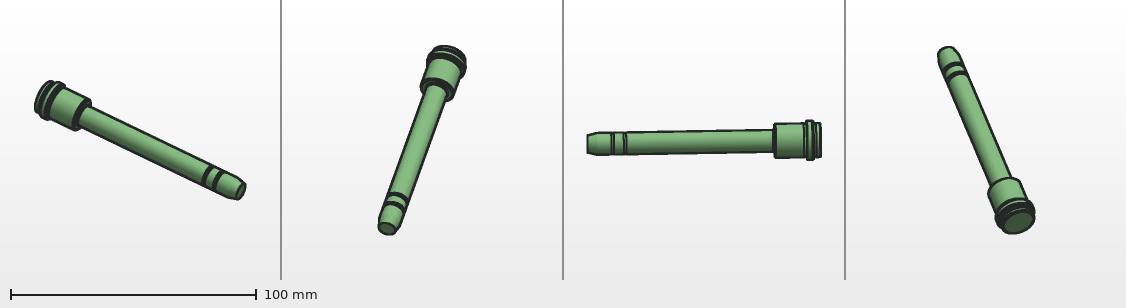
import cadquery as cq

length = 95.0
head_radius = 14.0 / 2
collar_radius = 16.0 / 2
shaft_radius = 9.0 / 2

front_chamfer_length = 0.4
front_chamfer_step = 0.6
neck_radius = 6.6
rim_end = 1.9
collar_start = 2.9
collar_end = 5.8
collar_front_chamfer_length = 0.6
collar_front_chamfer_step = 0.4
collar_rear_chamfer = 0.3
body_start = 6.9
head_end = 18.9
rear_chamfer = 0.6
shaft_root_length = 0.6
shaft_root_step = 0.3

groove_starts = (79.2, 84.3)
groove_width = 1.0
groove_depth = 0.24
tip_length = 4.0
tip_radius = 3.5


def revolve_profile(points):
    """Revolve (distance along X, radius) points around the X axis."""
    return cq.Workplane("XY").polyline(points).close().revolve(360, (0, 0, 0), (1, 0, 0))


def make_pin():
    return revolve_profile([
        (0, 0),
        (0, head_radius - front_chamfer_step),
        (front_chamfer_length, head_radius),
        (rim_end, head_radius),
        (collar_start, neck_radius),
        (collar_start, collar_radius - collar_front_chamfer_step),
        (collar_start + collar_front_chamfer_length, collar_radius),
        (collar_end - collar_rear_chamfer, collar_radius),
        (collar_end, collar_radius - collar_rear_chamfer),
        (collar_end, neck_radius),
        (body_start, head_radius),
        (head_end - rear_chamfer, head_radius),
        (head_end, head_radius - rear_chamfer),
        (head_end, shaft_radius + shaft_root_step),
        (head_end + shaft_root_length, shaft_radius),
        (length - tip_length, shaft_radius),
        (length, tip_radius),
        (length, 0),
    ])


def make_groove(start):
    end = start + groove_width
    floor_radius = shaft_radius - groove_depth
    return revolve_profile([
        (start, floor_radius),
        (start, head_radius),
        (end, head_radius),
        (end, floor_radius),
    ])


pin = make_pin()
for groove_start in groove_starts:
    pin = pin.cut(make_groove(groove_start))

result = pin.translate((-length / 2, 0, 0))